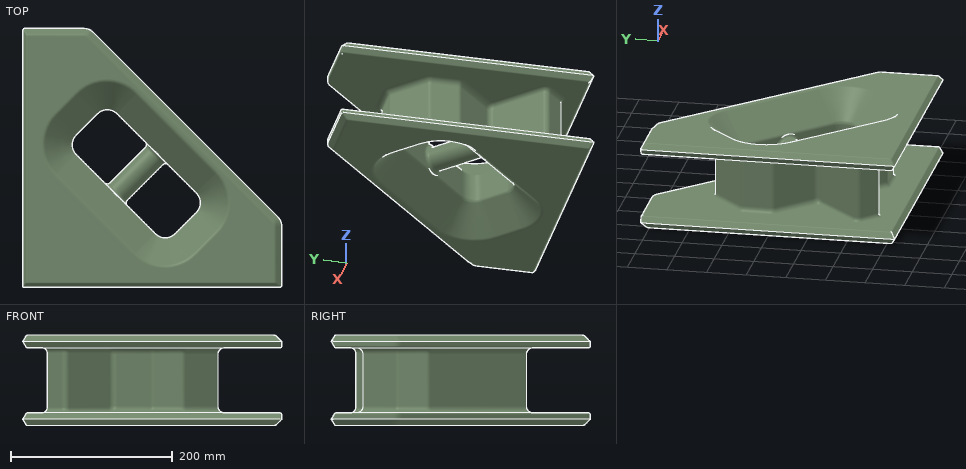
import cadquery as cq
import math

side = 321.2
height = 112.5
plate_thick = 16.0
diagonal_start = 82.5
vee_depth = 4.8
corner_round = 16.0
far_edge_round = 5.5
vee_edge_round = 2.5
end_corner_round = 2.2

layout_turn = 45.0
centre_v = 199.2
body_half_length = 113.5
body_half_width = 57.5
body_chamfer = 27.5
body_round = 6.7
body_root_round = 8.0

rib_half_width = 18.0
rib_tip_v = 57.0
rib_round = 6.7
rib_root_round = 6.5

neck_half_length = 86.5
neck_half_width = 35.5
neck_corner = 17.0
neck_half_height = 19.5
neck_edge_round = 5.5
flare_angle = 44
mouth_edge_round = 6.5

bar_radius = 15.5
bar_root_round = 4.5

half_height = height / 2
inner_face = half_height - plate_thick
plate_middle = half_height - plate_thick / 2
far_chamfer = plate_thick / 2
body_front_v = centre_v - body_half_width
margin = 6.5


def turn(shape, angle):
    return shape.rotate((0, 0, 0), (0, 0, 1), angle)


def box_of(half_u, v_range, z_range):
    """Selector for edges centred within a box of the U, V layout."""
    return cq.selectors.BoxSelector(
        (-half_u, v_range[0], z_range[0]), (half_u, v_range[1], z_range[1])
    )


def level_edges(half_u, v_range, z):
    """Selector for edges lying at the heights z and -z."""
    upper = box_of(half_u, v_range, (z - 0.3, z + 0.3))
    lower = box_of(half_u, v_range, (-z - 0.3, -z + 0.3))
    return upper + lower


def vee_prism(plane):
    """Long prism whose near end is a V and whose far end is plain."""
    points = [
        (vee_depth, inner_face), (side, inner_face), (side, half_height),
        (vee_depth, half_height), (0, plate_middle),
    ]
    return cq.Workplane(plane).polyline(points).close().extrude(2 * side, both=True)


def make_plate():
    """Upper plate: a square with one corner cut off and shaped edges."""
    outline = [(0, 0), (side, 0), (side, diagonal_start), (diagonal_start, side), (0, side)]
    plate = cq.Workplane("XY").polyline(outline).close().extrude(height)
    for x, y in ((side, diagonal_start), (diagonal_start, side)):
        corner = cq.selectors.NearestToPointSelector((x, y, half_height))
        plate = plate.edges(corner).fillet(corner_round)
    plate = plate.intersect(vee_prism("XZ")).intersect(vee_prism("YZ"))
    plate = plate.faces(">Z").edges("not(<X or <Y)").chamfer(far_chamfer)
    plate = plate.faces(">Z").edges("not(<X or <Y)").fillet(far_edge_round)
    z_reach = plate_thick / 3
    for x, y in ((side, 0), (0, side)):
        end_corner = cq.selectors.BoxSelector(
            (x - margin, y - margin, plate_middle - z_reach),
            (x + margin, y + margin, plate_middle + z_reach),
        )
        plate = plate.edges(end_corner).fillet(end_corner_round)
    return plate.faces("|Z").edges("<X or <Y").fillet(vee_edge_round)


def add_body(part):
    """Join the plates by a box with cut corners and rounded roots."""
    body = (
        cq.Workplane("XY").center(0, centre_v)
        .rect(2 * body_half_length, 2 * body_half_width).extrude(inner_face, both=True)
        .edges("|Z").chamfer(body_chamfer)
        .edges("|Z").fillet(body_round)
    )
    v_range = (body_front_v - margin, centre_v + body_half_width + margin)
    roots = level_edges(body_half_length + margin, v_range, inner_face)
    return part.union(body).edges(roots).fillet(body_root_round)


def add_rib(part):
    """Add a rib reaching from the body towards the square corner."""
    length = centre_v - rib_tip_v
    rib = (
        cq.Workplane("XY").center(0, rib_tip_v + length / 2)
        .rect(2 * rib_half_width, length).extrude(inner_face, both=True)
        .edges("|Z and <Y").fillet(rib_round)
    )
    half_u = rib_half_width + margin
    plate_roots = level_edges(half_u, (rib_tip_v - margin, body_front_v - margin), inner_face)
    crossings = box_of(half_u, (body_front_v - body_root_round, body_front_v),
                       (-inner_face, inner_face))
    body_corners = box_of(half_u, (body_front_v - 0.3, body_front_v + 0.3), (-0.3, 0.3))
    return part.union(rib).edges(plate_roots + crossings + body_corners).fillet(rib_root_round)


def cut_pocket(part):
    """Cut the waisted pocket through both plates and the body."""
    neck = (
        cq.Workplane("XY").center(0, centre_v)
        .rect(2 * neck_half_length, 2 * neck_half_width).extrude(neck_half_height, both=True)
        .edges("|Z").fillet(neck_corner)
    )
    flare = (
        neck.faces(">Z").wires().toPending()
        .workplane()
        .extrude(half_height - neck_half_height, taper=-flare_angle, combine=False)
    )
    return part.cut(neck).cut(flare).cut(flare.mirror("XY"))


def round_pocket(part):
    """Round the rims of the neck and of the mouths, above and below."""
    spread = (half_height - neck_half_height) * math.tan(math.radians(flare_angle))
    rims = (
        (neck_half_height, 0, neck_edge_round),
        (half_height, spread, mouth_edge_round),
    )
    for z, growth, radius in rims:
        half_u = neck_half_length + growth + 0.3
        half_v = neck_half_width + growth + 0.3
        rim_edges = level_edges(half_u, (centre_v - half_v, centre_v + half_v), z)
        part = part.edges(rim_edges).fillet(radius)
    return part


def make_bar():
    """Round bar across the neck with a flared root at each wall."""
    flare_radius = bar_radius + bar_root_round
    wall_v = neck_half_width
    arc_dip = bar_root_round * (1 - math.sqrt(0.5))
    shoulder_v = wall_v - bar_root_round
    half = (
        cq.Workplane("XY")
        .moveTo(0, 0).lineTo(bar_radius, 0).lineTo(bar_radius, shoulder_v)
        .threePointArc((bar_radius + arc_dip, wall_v - arc_dip), (flare_radius, wall_v))
        .lineTo(flare_radius, wall_v + margin).lineTo(0, wall_v + margin).close()
        .revolve(360, (0, 0), (0, 1))
    )
    return half.union(half.mirror("XZ")).translate((0, centre_v, 0))


plate = turn(make_plate(), layout_turn)
part = plate.union(plate.mirror("XY"))
part = add_rib(add_body(part))
part = round_pocket(cut_pocket(part)).union(make_bar())
result = turn(part, -layout_turn)